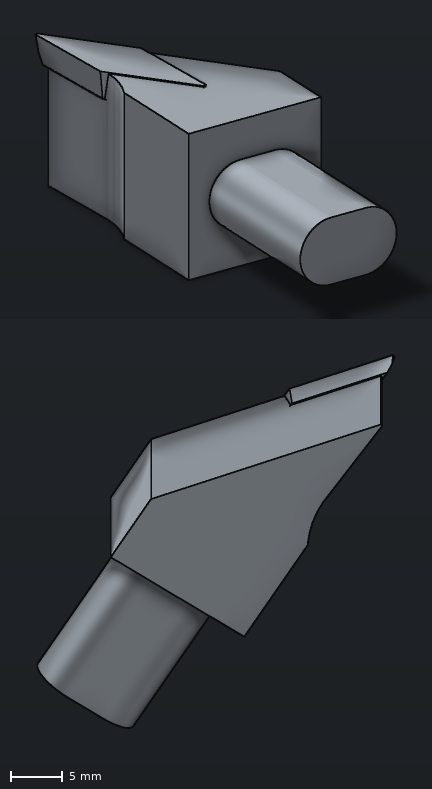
import cadquery as cq
import math

body_end_x = 27.3
body_width = 15.4
body_height = 15.68
shoulder_x = 20.05
relief_start_x = 11.3
relief_start_y = 1.15
relief_end_x = 15.9
tip_flat = 0.2

shank_end_x = 43.3
shank_width = 11.2
shank_height = 7.2
shank_y = 8.0
shank_z = 7.8

point_angle = 35.0
flank_angle = 3.0
clearance_angle = 7.0
insert_side = 11.17
insert_thickness = 3.1
insert_rise = 0.15
corner_cut = 0.5
insert_tip = (-0.45, 0.055)

bisector_angle = flank_angle + point_angle / 2
slant_angle = flank_angle + point_angle


def on_line(point, angle, x):
    """Y at x on the line through a point at an angle to X."""
    return point[1] + (x - point[0]) * math.tan(math.radians(angle))


def make_insert():
    half_angle = math.radians(point_angle / 2)
    half_length = insert_side * math.cos(half_angle)
    half_breadth = insert_side * math.sin(half_angle)
    rhombus = (
        cq.Workplane("XY")
        .polyline([(-half_length, 0), (0, -half_breadth), (half_length, 0), (0, half_breadth)])
        .close()
        .extrude(-insert_thickness, taper=clearance_angle)
    )
    top_reach = half_length - corner_cut
    bottom_reach = top_reach - insert_thickness * math.tan(math.radians(clearance_angle))
    blunting = (
        cq.Workplane("XZ")
        .polyline([
            (-top_reach, 0),
            (top_reach, 0),
            (bottom_reach, -insert_thickness),
            (-bottom_reach, -insert_thickness),
        ])
        .close()
        .extrude(half_breadth, both=True)
    )
    return (
        rhombus.intersect(blunting)
        .translate((half_length, 0, 0))
        .rotate((0, 0, 0), (0, 0, 1), bisector_angle)
        .translate((*insert_tip, body_height + insert_rise))
    )


def make_block():
    slant_top = (shoulder_x, body_width)
    relief_start = (relief_start_x, relief_start_y)

    flank_slope = math.tan(math.radians(flank_angle))
    slant_slope = math.tan(math.radians(slant_angle))
    gap = on_line(slant_top, slant_angle, relief_start_x) - relief_start_y
    nose_x = relief_start_x - gap / (slant_slope - flank_slope)

    nose_cut = tip_flat / (2 * math.sin(math.radians(point_angle / 2)))
    flat_low_x = nose_x + nose_cut * math.cos(math.radians(flank_angle))
    flat_high_x = nose_x + nose_cut * math.cos(math.radians(slant_angle))

    relief_run = relief_end_x - relief_start_x
    relief_radius = (relief_run**2 + relief_start_y**2) / (2 * relief_start_y)
    mid_x = relief_start_x + relief_run / 2
    mid_y = relief_start_y - relief_radius + math.sqrt(relief_radius**2 - (relief_run / 2) ** 2)

    return (
        cq.Workplane("XY")
        .moveTo(body_end_x, 0)
        .lineTo(body_end_x, body_width)
        .lineTo(*slant_top)
        .lineTo(flat_high_x, on_line(slant_top, slant_angle, flat_high_x))
        .lineTo(flat_low_x, on_line(relief_start, flank_angle, flat_low_x))
        .lineTo(*relief_start)
        .threePointArc((mid_x, mid_y), (relief_end_x, 0))
        .close()
        .extrude(body_height)
    )


def make_shank():
    return (
        cq.Workplane("YZ", origin=(body_end_x, shank_y, shank_z))
        .slot2D(shank_width, shank_height)
        .extrude(shank_end_x - body_end_x)
    )


insert = make_insert()

holder = make_block().union(make_shank()).cut(insert)

result = cq.Compound.makeCompound([holder.solids().val(), insert.solids().val()])